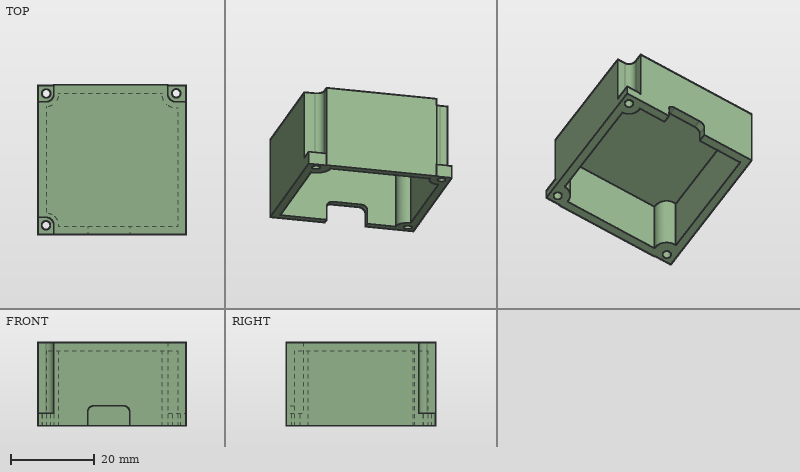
import cadquery as cq

length = 35.6
width = 36.0
height = 20.0
wall = 2.0

lug_height = 3.05
lug_setback = 0.15
hole_diameter = 2.0

recess_radius = 1.9
corner_wall = 1.08
rear_right_wall = 1.45

opening_start = 11.95
opening_width = 10.08
opening_height = 4.82
opening_radius = 1.5

front_left = ((0, 0), (1, 1), (3.85, 4.15), (1.95, 2.25), corner_wall)
rear_left = ((0, width), (1, -1), (3.85, 4.15), (2.0, 2.12), corner_wall)
rear_right = ((length, width), (-1, -1), (4.43, 4.1), (2.38, 2.1), rear_right_wall)
corners = [front_left, rear_left, rear_right]


def corner_block(corner, direction, size, radius, bottom, top):
    """Upright block from an outer corner inward, with its inner edge rounded."""
    x_size, y_size = size
    x_sign, y_sign = direction
    block = cq.Workplane("XY").box(x_size, y_size, top - bottom, centered=False)
    block = block.edges("|Z and >X and >Y").fillet(radius)
    if x_sign < 0:
        block = block.mirror("YZ")
    if y_sign < 0:
        block = block.mirror("XZ")
    return block.translate((*corner, bottom))


def make_cavity():
    """Space under the roof, leaving material around every corner recess."""
    cavity = cq.Workplane("XY").box(
        length - 2 * wall, width - 2 * wall, height - wall, centered=False
    )
    cavity = cavity.translate((wall, wall, 0))
    for corner, direction, recess, _, surround in corners:
        size = (recess[0] + surround, recess[1] + surround)
        post = corner_block(corner, direction, size, recess_radius + surround, 0, height)
        cavity = cavity.cut(post)
    return cavity


def make_opening():
    """Opening with rounded upper corners, cut through the front wall only."""
    opening = cq.Workplane("XY").box(opening_width, wall, opening_height, centered=False)
    opening = opening.edges("|Y and >Z").fillet(opening_radius)
    return opening.translate((opening_start, 0, 0))


def make_screw_hole(corner, direction, inset):
    """Vertical through hole in a lug."""
    x = corner[0] + direction[0] * inset[0]
    y = corner[1] + direction[1] * inset[1]
    return cq.Workplane("XY").center(x, y).circle(hole_diameter / 2).extrude(lug_height)


housing = cq.Workplane("XY").box(length, width, height, centered=False)
housing = housing.cut(make_cavity()).cut(make_opening())

for corner, direction, recess, hole_inset, _ in corners:
    housing = housing.cut(
        corner_block(corner, direction, recess, recess_radius, lug_height, height)
    )
    housing = housing.cut(make_screw_hole(corner, direction, hole_inset))

for corner, direction, recess, _, _ in (rear_left, rear_right):
    setback = cq.Workplane("XY").box(recess[0], lug_setback, lug_height, centered=False)
    x_start = corner[0] if direction[0] > 0 else corner[0] - recess[0]
    housing = housing.cut(setback.translate((x_start, width - lug_setback, 0)))

result = housing